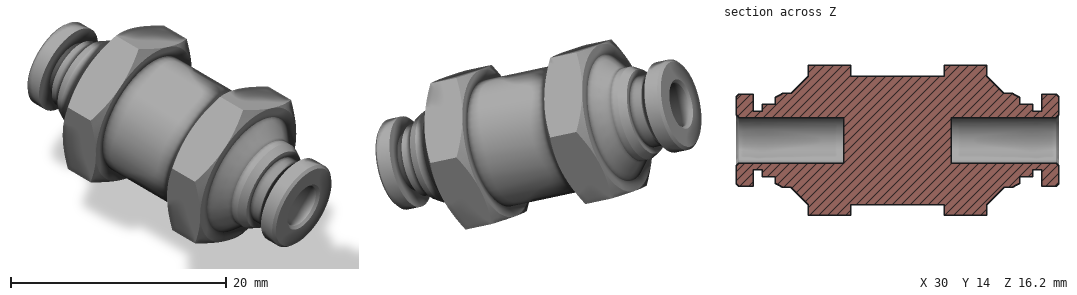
import cadquery as cq
import math

half_length = 15.0
flange_inner = 13.4
neck_inner = 12.6
collar_outer = 11.4
collar_chamfer_inner = 10.65
collar_inner = 9.9

hex_sides = 6
hex_across_flats = 14.0
nut_inner = 4.3
nut_width = 4.0
nut_outer = nut_inner + nut_width
nut_chamfer_angle = 30.0

body_diameter = 12.0
collar_diameter = 8.8
collar_end_diameter = 8.0
guide_diameter = 6.8
neck_diameter = 5.5
flange_diameter = 8.6
flange_chamfer = 0.25

socket_diameter = 4.2
socket_mouth_diameter = 4.7
socket_depth = 10.0
socket_chamfer_length = (socket_mouth_diameter - socket_diameter) / 2


def revolve_about_x(profile):
    """Revolve (x, diameter) points about the X axis, closing the outline along the axis."""
    points = [(x, diameter / 2) for x, diameter in profile]
    points = [(profile[0][0], 0)] + points + [(profile[-1][0], 0)]
    return cq.Workplane("XY").polyline(points).close().revolve(360, (0, 0, 0), (1, 0, 0))


def make_body():
    """Solid turned body with a shoulder cone, collar, guide, neck and release flange at each end."""
    right_half = [
        (nut_outer, body_diameter),
        (collar_inner, collar_diameter),
        (collar_chamfer_inner, collar_diameter),
        (collar_outer, collar_end_diameter),
        (collar_outer, guide_diameter),
        (neck_inner, guide_diameter),
        (neck_inner, neck_diameter),
        (flange_inner, neck_diameter),
        (flange_inner, flange_diameter),
        (half_length - flange_chamfer, flange_diameter),
        (half_length, flange_diameter - 2 * flange_chamfer),
    ]
    left_half = [(-x, diameter) for x, diameter in reversed(right_half)]
    return revolve_about_x(left_half + right_half)


def make_nut():
    """Hexagon nut with corners along Z and both faces chamfered down to the flats."""
    across_corners = hex_across_flats / math.cos(math.pi / hex_sides)
    hexagon = (
        cq.Workplane("YZ", origin=(nut_inner, 0, 0))
        .transformed(rotate=(0, 0, 90))
        .polygon(hex_sides, across_corners)
        .extrude(nut_width)
    )
    corner_height = (across_corners - hex_across_flats) / 2
    chamfer_length = corner_height * math.tan(math.radians(nut_chamfer_angle))
    chamfer_envelope = revolve_about_x([
        (nut_inner, hex_across_flats),
        (nut_inner + chamfer_length, across_corners),
        (nut_outer - chamfer_length, across_corners),
        (nut_outer, hex_across_flats),
    ])
    return hexagon.intersect(chamfer_envelope)


def make_socket():
    """Blind tube socket with a chamfered mouth."""
    return revolve_about_x([
        (half_length - socket_depth, socket_diameter),
        (half_length - socket_chamfer_length, socket_diameter),
        (half_length, socket_mouth_diameter),
    ])


result = make_body()
right_nut = make_nut()
right_socket = make_socket()
for nut in (right_nut, right_nut.mirror("YZ")):
    result = result.union(nut)
for socket in (right_socket, right_socket.mirror("YZ")):
    result = result.cut(socket)